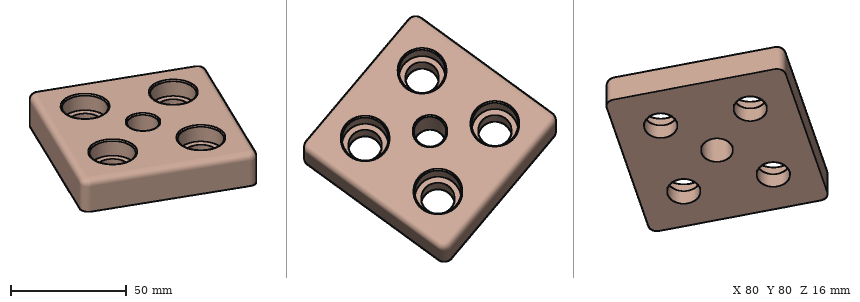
import cadquery as cq

side = 80.0
thickness = 16.0
corner_radius = 4.0
top_edge_radius = 3.0

hole_spacing = side / 2
bolt_diameter = 14.5
counterbore_diameter = 20.0
counterbore_depth = thickness / 2

center_diameter = 13.8

rim_chamfer = 0.6


def hole_cutter(diameter, depth):
    """Cylinder sunk from the top face, widened by a chamfer at its rim."""
    cylinder = cq.Workplane("XY").workplane(offset=thickness - depth).circle(diameter / 2).extrude(depth)
    rim = (
        cq.Workplane("XY")
        .workplane(offset=thickness - rim_chamfer)
        .circle(diameter / 2)
        .workplane(offset=rim_chamfer)
        .circle(diameter / 2 + rim_chamfer)
        .loft(ruled=True)
    )
    return cylinder.union(rim)


plate = (
    cq.Workplane("XY")
    .rect(side, side)
    .extrude(thickness)
    .edges("|Z")
    .fillet(corner_radius)
    .faces(">Z")
    .edges()
    .fillet(top_edge_radius)
)

bolt_cutter = cq.Workplane("XY").circle(bolt_diameter / 2).extrude(thickness)
bolt_cutter = bolt_cutter.union(hole_cutter(counterbore_diameter, counterbore_depth))
for x_sign in (-1, 1):
    for y_sign in (-1, 1):
        position = (x_sign * hole_spacing / 2, y_sign * hole_spacing / 2, 0)
        plate = plate.cut(bolt_cutter.translate(position))

result = plate.cut(hole_cutter(center_diameter, thickness))